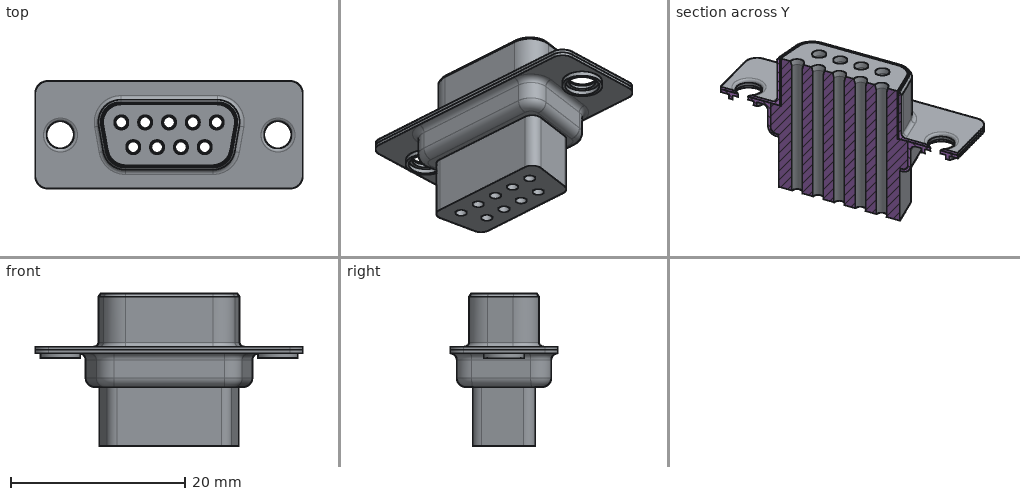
import cadquery as cq
import math

SHEET = 0.4
PLATE_LENGTH = 30.8
PLATE_WIDTH = 12.4
PLATE_CORNER_RADIUS = 1.5

MOUNT_SPACING = 25.0
MOUNT_HOLE_DIAMETER = 3.1
MOUNT_LIP_RADIUS = SHEET
COLLAR_OUTER_DIAMETER = 4.6
COLLAR_INNER_DIAMETER = 3.9
COLLAR_HEIGHT = 0.55

SIDE_ANGLE = 10.0
SHELL_D = {"half_width": 7.9, "half_depth": 4.03, "radius": 2.56}
CUP_D = {"half_width": 9.045, "half_depth": 5.455, "radius": 2.06}
REAR_D = {"half_width": 7.62, "half_depth": 3.6, "radius": 1.2}

FRONT_TOP = 6.5
FRONT_ROOT_FILLET = 0.5
RIM_CHAMFER_WIDTH = 0.27
RIM_CHAMFER_HEIGHT = 0.38
FRONT_WALL = 0.45

CUP_BOTTOM = -4.28
CUP_ROOT_FILLET = 0.7
CUP_EDGE_FILLET = 1.1

FRONT_CLEARANCE = 0.1
INSULATOR_BOTTOM = -11.05

CONTACT_PITCH = 2.74
CONTACT_ROW_SPACING = 2.84
CONTACT_HOLE_DIAMETER = 1.3
CONTACT_ENTRY_DIAMETER = 1.65
CONTACT_ENTRY_DEPTH = 0.6
FRONT_ROW_COUNT = 4
BACK_ROW_COUNT = 5


def inset(section, distance):
    """The D section moved inward by an even distance on all sides."""
    return {
        "half_width": section["half_width"] - distance / math.cos(math.radians(SIDE_ANGLE)),
        "half_depth": section["half_depth"] - distance,
        "radius": section["radius"] - distance,
    }


def d_prism(section, bottom, top):
    """A prism with a round-cornered D section, wider on the +Y side."""
    half_depth = section["half_depth"]
    taper = half_depth * math.tan(math.radians(SIDE_ANGLE))
    wide = section["half_width"] + taper
    narrow = section["half_width"] - taper
    corners = [(-wide, half_depth), (-narrow, -half_depth), (narrow, -half_depth), (wide, half_depth)]
    prism = cq.Workplane("XY").workplane(offset=bottom).polyline(corners).close().extrude(top - bottom)
    return prism.edges("|Z").fillet(section["radius"])


def plate(bottom):
    """A flange plate with rounded corners."""
    blank = cq.Workplane("XY").workplane(offset=bottom).rect(PLATE_LENGTH, PLATE_WIDTH).extrude(SHEET)
    return blank.edges("|Z").fillet(PLATE_CORNER_RADIUS)


def mount_cylinders(diameter, bottom, top):
    """Cylinders on both mounting hole axes."""
    centres = [(-MOUNT_SPACING / 2, 0), (MOUNT_SPACING / 2, 0)]
    base = cq.Workplane("XY").workplane(offset=bottom).pushPoints(centres)
    return base.circle(diameter / 2).extrude(top - bottom)


def root_edges(height):
    """Selects the D outline where a shell wall meets its plate."""
    reach = (MOUNT_SPACING - COLLAR_OUTER_DIAMETER) / 2
    margin = 0.01
    low = (-reach, -PLATE_WIDTH / 2 + margin, height - margin)
    high = (reach, PLATE_WIDTH / 2 - margin, height + margin)
    return cq.selectors.BoxSelector(low, high, boundingbox=True)


def build_front_shell():
    """The upper plate with the tall D-shaped mating shell."""
    wall = d_prism(SHELL_D, 0, FRONT_TOP)
    wall = wall.faces(">Z").chamfer(RIM_CHAMFER_HEIGHT, RIM_CHAMFER_WIDTH)
    shell = plate(0).union(wall)
    shell = shell.edges(root_edges(SHEET)).fillet(FRONT_ROOT_FILLET)
    shell = shell.cut(d_prism(inset(SHELL_D, FRONT_WALL), 0, FRONT_TOP))
    shell = shell.cut(mount_cylinders(MOUNT_HOLE_DIAMETER, 0, SHEET))
    return shell.cut(mount_lips())


def mount_lips():
    """The material removed to round the upper edge of both mounting holes."""
    hole_radius = MOUNT_HOLE_DIAMETER / 2
    lip_edge = hole_radius + MOUNT_LIP_RADIUS
    arc_drop = MOUNT_LIP_RADIUS * math.sin(math.radians(45))
    lip = (
        cq.Workplane("XZ")
        .moveTo(0, SHEET)
        .lineTo(lip_edge, SHEET)
        .threePointArc(
            (lip_edge - arc_drop, SHEET - MOUNT_LIP_RADIUS + arc_drop),
            (hole_radius, SHEET - MOUNT_LIP_RADIUS),
        )
        .lineTo(0, SHEET - MOUNT_LIP_RADIUS)
        .close()
        .revolve(360, (0, 0, 0), (0, 1, 0))
    )
    left = lip.translate((-MOUNT_SPACING / 2, 0, 0))
    right = lip.translate((MOUNT_SPACING / 2, 0, 0))
    return left.union(right)


def build_rear_shell():
    """The lower plate with its deep drawn cup and the two collars."""
    cup = d_prism(CUP_D, CUP_BOTTOM, 0).faces("<Z").edges().fillet(CUP_EDGE_FILLET)
    shell = plate(-SHEET).union(cup)
    shell = shell.edges(root_edges(-SHEET)).fillet(CUP_ROOT_FILLET)
    shell = shell.cut(build_insulator_flange())
    shell = shell.cut(d_prism(REAR_D, CUP_BOTTOM, 0))
    collar_bottom = -SHEET - COLLAR_HEIGHT
    shell = shell.union(mount_cylinders(COLLAR_OUTER_DIAMETER, collar_bottom, -SHEET))
    shell = shell.cut(mount_cylinders(COLLAR_INNER_DIAMETER, collar_bottom, -SHEET))
    return shell.cut(mount_cylinders(MOUNT_HOLE_DIAMETER, -SHEET, 0))


def build_insulator_flange():
    """The middle of the insulator, which fills the cup of the rear shell."""
    flange = d_prism(inset(CUP_D, SHEET), CUP_BOTTOM + SHEET, 0)
    return flange.faces("<Z").edges().fillet(CUP_EDGE_FILLET - SHEET)


def contact_centres():
    """Centres of the contact holes in both rows."""
    rows = [(FRONT_ROW_COUNT, -CONTACT_ROW_SPACING / 2), (BACK_ROW_COUNT, CONTACT_ROW_SPACING / 2)]
    return [((i - (count - 1) / 2) * CONTACT_PITCH, y) for count, y in rows for i in range(count)]


def build_contact_hole():
    """One through hole with a conical entry at the top."""
    bore_radius = CONTACT_HOLE_DIAMETER / 2
    cone_bottom = FRONT_TOP - CONTACT_ENTRY_DEPTH
    outline = [
        (0, INSULATOR_BOTTOM),
        (bore_radius, INSULATOR_BOTTOM),
        (bore_radius, cone_bottom),
        (CONTACT_ENTRY_DIAMETER / 2, FRONT_TOP),
        (0, FRONT_TOP),
    ]
    return cq.Workplane("XZ").polyline(outline).close().revolve(360, (0, 0, 0), (0, 1, 0))


def build_insulator():
    """The contact block held between the two shells."""
    front_section = inset(SHELL_D, FRONT_WALL + FRONT_CLEARANCE)
    block = build_insulator_flange()
    block = block.union(d_prism(front_section, 0, FRONT_TOP))
    block = block.union(d_prism(REAR_D, INSULATOR_BOTTOM, 0))
    hole = build_contact_hole()
    for x, y in contact_centres():
        block = block.cut(hole.translate((x, y, 0)))
    return block


front_shell = build_front_shell()
rear_shell = build_rear_shell()
insulator = build_insulator()

result = cq.Compound.makeCompound(
    [front_shell.solids().val(), rear_shell.solids().val(), insulator.solids().val()]
)